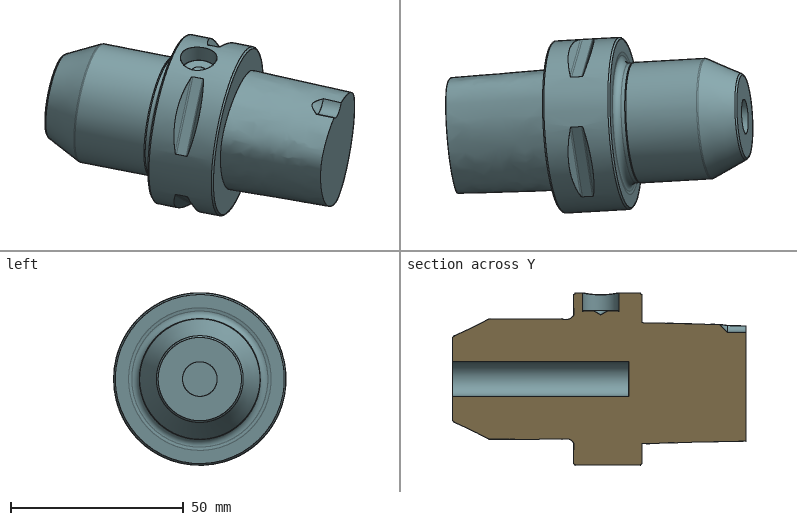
import cadquery as cq
import math

length = 85.0
nose_chamfer = 0.5
cone_end = 10.6
cone_edge_radius = 0.85
body_end = 31.7
flange_start = 35.0
flange_end = 54.9
flange_chamfer = 0.5

flange_radius = 50.0 / 2
body_radius = 35.0 / 2
neck_radius = 34.8 / 2
nose_radius = 25.2 / 2
bore_diameter = 10.0
bore_depth = 51.0

neck_step = 0.3
relief_fillet = 2.0
relief_angle = math.radians(8)
relief_outer_radius = 20.65

shank_root_radius = 17.6
shank_tip_radius = 16.8
lobe_height = 1.2
lobe_points = 36

notch_radius = 4.3
notch_axis_height = 17.9
notch_start = 79.6
notch_cone_half_angle = math.radians(45)

slot_x = 45.0
slot_floor_width = 3.6
slot_floor_distance = 22.2
slot_wall_angle = math.radians(30)
slot_corner_radius = 0.5
slot_cutter_clearance = 0.85
slot_angles = (45, 135, 225, 315)

screw_x = 42.9
screw_hole_diameter = 10.5
screw_depth = 5.2
screw_chamfer = 0.25
screw_diameter = 10.0
center_mark_diameter = 4.0
center_mark_half_angle = math.radians(60)


def turned_body():
    """Nose cone, body, relief groove and flange, revolved about X."""
    relief_slope = math.tan(relief_angle)
    fillet_center_r = neck_radius + relief_fillet
    fillet_end_r = fillet_center_r + relief_fillet * math.sin(relief_angle)
    fillet_end_x = flange_start + (relief_outer_radius - fillet_end_r) * relief_slope
    fillet_center_x = fillet_end_x - relief_fillet * math.cos(relief_angle)
    mid_angle = (math.pi / 2 + relief_angle) / 2
    fillet_mid = (
        fillet_center_x + relief_fillet * math.sin(mid_angle),
        fillet_center_r - relief_fillet * math.cos(mid_angle),
    )
    return (
        cq.Workplane("XY")
        .moveTo(0, 0)
        .lineTo(0, nose_radius - nose_chamfer)
        .lineTo(nose_chamfer, nose_radius)
        .lineTo(cone_end, body_radius)
        .lineTo(body_end, body_radius)
        .lineTo(body_end + neck_step, neck_radius)
        .lineTo(fillet_center_x, neck_radius)
        .threePointArc(fillet_mid, (fillet_end_x, fillet_end_r))
        .lineTo(flange_start, relief_outer_radius)
        .lineTo(flange_start, flange_radius - flange_chamfer)
        .lineTo(flange_start + flange_chamfer, flange_radius)
        .lineTo(flange_end - flange_chamfer, flange_radius)
        .lineTo(flange_end, flange_radius - flange_chamfer)
        .lineTo(flange_end, 0)
        .close()
        .revolve(360, (0, 0, 0), (1, 0, 0))
        .edges(cq.selectors.BoxSelector(
            (cone_end - cone_edge_radius, -flange_radius, -flange_radius),
            (cone_end + cone_edge_radius, flange_radius, flange_radius),
            boundingbox=True,
        ))
        .fillet(cone_edge_radius)
    )


def lobed_outline(mean_radius):
    """Points of a constant-width curve with three lobes."""
    points = []
    for i in range(lobe_points):
        angle = 2 * math.pi * i / lobe_points
        reach = mean_radius + lobe_height * math.sin(3 * angle)
        slide = 3 * lobe_height * math.cos(3 * angle)
        points.append((
            reach * math.cos(angle) - slide * math.sin(angle),
            reach * math.sin(angle) + slide * math.cos(angle),
        ))
    return points


def shank():
    return (
        cq.Workplane("YZ", origin=(flange_end, 0, 0))
        .spline(lobed_outline(shank_root_radius), periodic=True)
        .close()
        .workplane(offset=length - flange_end)
        .spline(lobed_outline(shank_tip_radius), periodic=True)
        .close()
        .loft(combine=True)
    )


def shank_notch():
    """Drill-shaped cutter along X with a conical tip."""
    tip_length = notch_radius / math.tan(notch_cone_half_angle)
    return (
        cq.Workplane("XZ")
        .moveTo(notch_start - tip_length, notch_axis_height)
        .lineTo(notch_start, notch_axis_height + notch_radius)
        .lineTo(length, notch_axis_height + notch_radius)
        .lineTo(length, notch_axis_height)
        .close()
        .revolve(360, (0, notch_axis_height, 0), (1, notch_axis_height, 0))
    )


def gripper_slot(angle):
    """Straight slot with sloping walls, turned about X from the top."""
    cutter_top = flange_radius + slot_cutter_clearance
    height = cutter_top - slot_floor_distance
    half_floor = slot_floor_width / 2
    half_top = half_floor + height * math.tan(slot_wall_angle)
    return (
        cq.Workplane("XZ")
        .moveTo(slot_x - half_floor, slot_floor_distance)
        .lineTo(slot_x + half_floor, slot_floor_distance)
        .lineTo(slot_x + half_top, cutter_top)
        .lineTo(slot_x - half_top, cutter_top)
        .close()
        .extrude(flange_radius, both=True)
        .edges("|Y and <Z")
        .fillet(slot_corner_radius)
        .rotate((0, 0, 0), (1, 0, 0), angle)
    )


def screw_recess():
    """Round recess whose floor is the chamfered, center-marked screw face."""
    floor_z = flange_radius - screw_depth
    mark_radius = center_mark_diameter / 2
    mark_depth = mark_radius / math.tan(center_mark_half_angle)
    return (
        cq.Workplane("XZ")
        .moveTo(screw_x, floor_z - mark_depth)
        .lineTo(screw_x + mark_radius, floor_z)
        .lineTo(screw_x + screw_diameter / 2, floor_z)
        .lineTo(screw_x + screw_hole_diameter / 2, floor_z - screw_chamfer)
        .lineTo(screw_x + screw_hole_diameter / 2, flange_radius)
        .lineTo(screw_x, flange_radius)
        .close()
        .revolve(360, (screw_x, 0, 0), (screw_x, 1, 0))
    )


bore = cq.Workplane("YZ").circle(bore_diameter / 2).extrude(bore_depth)

result = turned_body().union(shank()).cut(bore).cut(shank_notch()).cut(screw_recess())
for slot_angle in slot_angles:
    result = result.cut(gripper_slot(slot_angle))